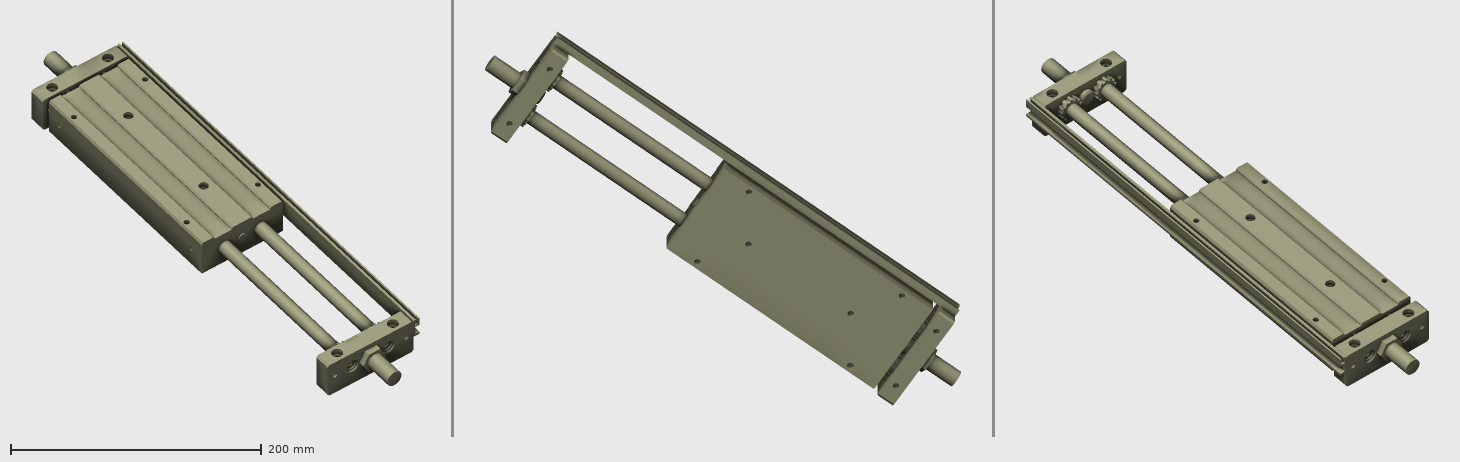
import cadquery as cq
import math



total_length = 457.0
total_width = 92.0
total_height = 36.0

frame_length = 394.0
plate_thickness = 15.0
plate_width = 86.0
plate_height = 34.0
plate_chamfer = 2.0
plate_hole_offset = 28.0
plate_hole_diameter = 5.0
plate_counterbore_diameter = 9.5
plate_counterbore_depth = 5.5
pin_hole_offset = 35.5
pin_hole_diameter = 4.5
end_recess_diameters = [12.0, 9.5, 6.0]
end_recess_step = 2.0

rod_diameter = 12.0
axis_z = 1.1
rod_offset = 18.0
stop_ring_diameter = 21.0
stop_ring_thickness = 5.0
notch_count = 12
notch_width = 2.7
notch_start_angle = 180 / notch_count
notch_depth = 2.0

rail_height = 18.0
rail_wall = 1.5
rail_shelf_height = 10.0
rail_foot_thickness = 2.5
rail_top_flange = 2.5

carriage_length = 203.5
carriage_width = 81.5
carriage_height = 34.0
land_height = 2.5
land_bevel = 1.5
middle_land_half_width = 10.5
side_land_inner_edge = 28.0
mount_spacing = 100.0
mount_hole_diameter = 5.0
mount_counterbore_diameter = 8.0
mount_counterbore_depth = 5.5
corner_hole_spacing_x = 150.0
corner_hole_offset_y = 35.5
corner_hole_diameter = 5.0
side_hole_spacing = 175.0
side_hole_diameter = 4.2
side_hole_depth = 5.5
side_pilot_diameter = 2.0
side_pilot_depth = 7.5
side_pin_diameter = 2.0
side_pin_drop = 11.5
stop_button_diameter = 8.0
stop_button_height = 1.0

shock_diameter = 14.0
shock_nose = 4.0
nut_sides = 6
nut_width_across_flats = 19.5
nut_thickness = 5.5
nut_chamfer = 0.5
nose_chamfer = 1.5

frame_half = frame_length / 2
plate_inner_x = frame_half - plate_thickness
plate_bottom_z = -total_height / 2
plate_top_z = plate_bottom_z + plate_height
plate_back_y = plate_width - total_width / 2
center_y = plate_back_y - plate_width / 2
carriage_top_z = total_height / 2
carriage_bottom_z = carriage_top_z - carriage_height
carriage_left_x = -plate_inner_x + stop_ring_thickness
carriage_x = carriage_left_x + carriage_length / 2
carriage_front_y = center_y - carriage_width / 2
rod_places = [center_y - rod_offset, center_y + rod_offset]


def rod_along_x(x_start, x_end, y, z, diameter):
    """Cylinder between two X positions."""
    plane = cq.Workplane("YZ", origin=(x_start, y, z))
    return plane.circle(diameter / 2).extrude(x_end - x_start)


def make_end_plate(side):
    """End plate on the -X (side = -1) or +X (side = 1) end."""
    outer_x = side * frame_half
    middle_x = side * (frame_half - plate_thickness / 2)
    plate = (
        cq.Workplane("XY", origin=(middle_x, center_y, plate_bottom_z))
        .box(plate_thickness, plate_width, plate_height, centered=(True, True, False))
        .edges("|X")
        .chamfer(plate_chamfer)
    )
    plate = (
        plate.faces(">Z")
        .workplane(origin=(middle_x, center_y, plate_top_z))
        .pushPoints([(0, -plate_hole_offset), (0, plate_hole_offset)])
        .cboreHole(plate_hole_diameter, plate_counterbore_diameter, plate_counterbore_depth)
    )
    inner_x = side * plate_inner_x
    for y in (center_y - pin_hole_offset, center_y + pin_hole_offset):
        plate = plate.cut(rod_along_x(inner_x, outer_x, y, axis_z, pin_hole_diameter))
    for y in rod_places:
        for step, diameter in enumerate(end_recess_diameters, start=1):
            floor_x = outer_x - side * step * end_recess_step
            plate = plate.cut(rod_along_x(outer_x, floor_x, y, axis_z, diameter))
    return plate.cut(rod_along_x(inner_x, outer_x, center_y, axis_z, shock_diameter))


def make_stop_ring(side, y):
    """Notched ring around a guide rod, against the inner face of an end plate."""
    plate_face_x = side * plate_inner_x
    free_face_x = plate_face_x - side * stop_ring_thickness
    ring = rod_along_x(plate_face_x, free_face_x, y, axis_z, stop_ring_diameter)
    notches = (
        cq.Workplane("YZ", origin=(plate_face_x, y, axis_z))
        .polarArray(stop_ring_diameter / 2, notch_start_angle, 360, notch_count)
        .rect(2 * notch_depth, notch_width)
        .extrude(-side * stop_ring_thickness)
    )
    return ring.cut(notches)


def make_rail():
    """Sensor rail behind the end plates: a wall with a foot, a shelf and a slot open at the top."""
    wall_y = plate_back_y
    edge_y = total_width / 2
    top_z = plate_top_z
    bottom_z = top_z - rail_height
    shelf_z = bottom_z + rail_shelf_height
    profile = [
        (wall_y, bottom_z),
        (edge_y, bottom_z),
        (edge_y, bottom_z + rail_foot_thickness),
        (wall_y + rail_wall, bottom_z + rail_foot_thickness),
        (wall_y + rail_wall, shelf_z),
        (edge_y, shelf_z),
        (edge_y, top_z),
        (edge_y - rail_wall, top_z),
        (edge_y - rail_wall, shelf_z + rail_wall),
        (wall_y + rail_wall, shelf_z + rail_wall),
        (wall_y + rail_wall, top_z - rail_wall),
        (wall_y + rail_top_flange, top_z - rail_wall),
        (wall_y + rail_top_flange, top_z),
        (wall_y, top_z),
    ]
    return cq.Workplane("YZ", origin=(-frame_half, 0, 0)).polyline(profile).close().extrude(frame_length)


def make_frame():
    """Both end plates joined by the guide rods, the stop rings and the rail."""
    frame = make_rail()
    for side in (-1, 1):
        frame = frame.union(make_end_plate(side))
        for y in rod_places:
            frame = frame.union(make_stop_ring(side, y))
    for y in rod_places:
        frame = frame.union(rod_along_x(-plate_inner_x, plate_inner_x, y, axis_z, rod_diameter))
    return frame


def make_carriage():
    """Carriage block with raised lands on top, bored for the guide rods."""
    half_width = carriage_width / 2
    valley_z = carriage_top_z - land_height
    bevel_z = carriage_top_z - land_bevel
    half_profile = [
        (middle_land_half_width - land_bevel, carriage_top_z),
        (middle_land_half_width, bevel_z),
        (middle_land_half_width, valley_z),
        (side_land_inner_edge, valley_z),
        (side_land_inner_edge, bevel_z),
        (side_land_inner_edge + land_bevel, carriage_top_z),
        (half_width - land_bevel, carriage_top_z),
        (half_width, valley_z),
        (half_width, carriage_bottom_z),
    ]
    mirrored_half = [(-y, z) for y, z in reversed(half_profile)]
    carriage = (
        cq.Workplane("YZ", origin=(carriage_left_x, center_y, 0))
        .polyline(half_profile + mirrored_half)
        .close()
        .extrude(carriage_length)
    )
    right_x = carriage_left_x + carriage_length
    for y in rod_places:
        carriage = carriage.cut(rod_along_x(carriage_left_x, right_x, y, axis_z, rod_diameter))
    top = cq.Workplane("XY", origin=(carriage_x, center_y, carriage_top_z))
    mounts = top.rarray(mount_spacing, 4.5, 2, 1).circle(mount_hole_diameter / 2).extrude(-carriage_height)
    counterbores = (
        top.rarray(mount_spacing, 4.5, 2, 1)
        .circle(mount_counterbore_diameter / 2)
        .extrude(-mount_counterbore_depth)
    )
    corners = (
        top.rarray(corner_hole_spacing_x, 2 * corner_hole_offset_y, 2, 2)
        .circle(corner_hole_diameter / 2)
        .extrude(-carriage_height)
    )
    carriage = carriage.cut(mounts).cut(counterbores).cut(corners)
    front = cq.Workplane("XZ", origin=(carriage_x, carriage_front_y, axis_z))
    side_holes = (
        front.rarray(side_hole_spacing, 4.5, 2, 1).circle(side_hole_diameter / 2).extrude(-side_hole_depth)
    )
    side_pilots = (
        front.rarray(side_hole_spacing, 4.5, 2, 1).circle(side_pilot_diameter / 2).extrude(-side_pilot_depth)
    )
    side_pins = (
        front.center(0, -side_pin_drop)
        .rarray(corner_hole_spacing_x, 4.5, 2, 1)
        .circle(side_pin_diameter / 2)
        .extrude(corner_hole_offset_y - half_width)
    )
    carriage = carriage.cut(side_holes).cut(side_pilots).cut(side_pins)
    for face_x, outward in ((carriage_left_x, -1), (right_x, 1)):
        button_x = face_x + outward * stop_button_height
        carriage = carriage.union(rod_along_x(face_x, button_x, center_y, axis_z, stop_button_diameter))
    return carriage


def make_shock_absorber(side):
    """Shock absorber through an end plate, with its lock nut against the outer face."""
    tip_x = side * total_length / 2
    nose_x = side * (plate_inner_x - shock_nose)
    body = rod_along_x(nose_x, tip_x, center_y, axis_z, shock_diameter)
    body = body.faces("<X" if side > 0 else ">X").chamfer(nose_chamfer)
    nut_corner_diameter = nut_width_across_flats / math.cos(math.pi / nut_sides)
    nut = (
        cq.Workplane("YZ", origin=(side * frame_half, center_y, axis_z))
        .polygon(nut_sides, nut_corner_diameter)
        .extrude(side * nut_thickness)
    )
    nut_outer_x = side * (frame_half + nut_thickness)
    rounding = rod_along_x(side * frame_half, nut_outer_x, center_y, axis_z, nut_corner_diameter)
    rounding = rounding.faces(">X" if side > 0 else "<X").chamfer(nut_chamfer)
    return body.union(nut.intersect(rounding))


frame = make_frame()
carriage = make_carriage()
shock_absorbers = [make_shock_absorber(side) for side in (-1, 1)]

result = cq.Compound.makeCompound(
    [frame.val(), carriage.val(), *[shock.val() for shock in shock_absorbers]]
)